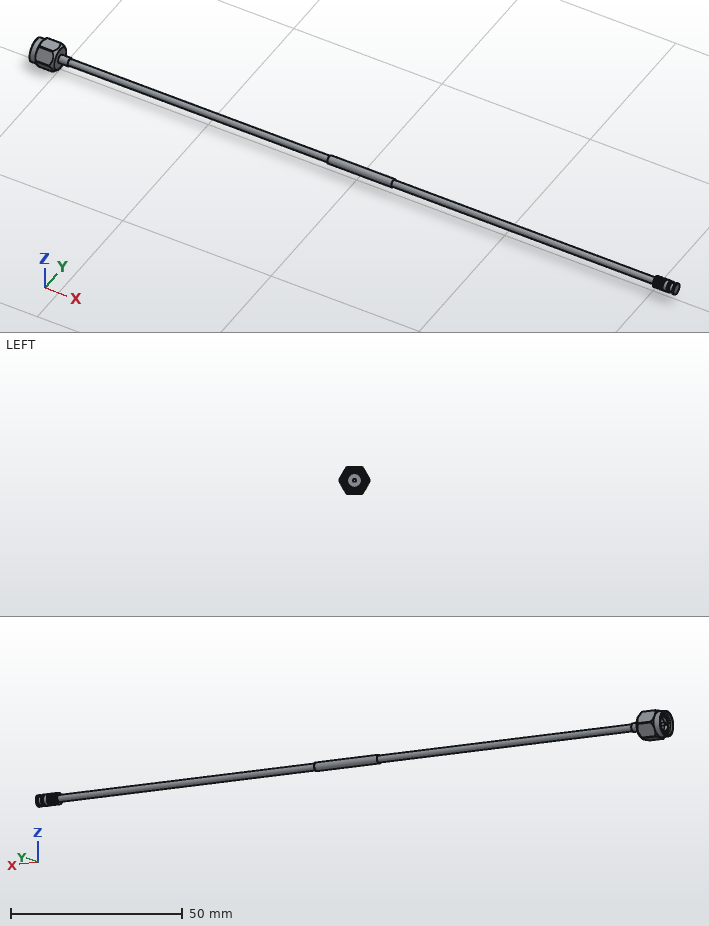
import cadquery as cq

OVERALL_LENGTH = 216.15

NUT_ACROSS_FLATS = 7.94
NUT_CORNER_DIAMETER = 8.99
HEX_TURN = 90
COLLAR_DIAMETER = 7.7
COLLAR_LENGTH = 2.0
NUT_END = 8.2
NUT_FRONT_CHAMFER = 0.5
NUT_REAR_CONE_LENGTH = 1.2
NUT_REAR_FACE_DIAMETER = 7.1
SOCKET_DIAMETER = 6.0
SOCKET_LEAD_IN = 0.45
SOCKET_DEPTH = 5.5
CONTACT_SLEEVE_DIAMETER = 5.1
CONTACT_SLEEVE_BORE = 4.2
CONTACT_SLEEVE_FACE = 0.8
DIELECTRIC_FACE = 2.0
PIN_DIAMETER = 0.9
PIN_FACE = 0.4
FERRULE_DIAMETER = 2.65
FERRULE_END = 11.4

CABLE_DIAMETER = 2.15
SLEEVE_DIAMETER = 2.65
SLEEVE_START = 99.0
SLEEVE_LENGTH = 21.6

PLUG_DIAMETER = 3.5
PLUG_LENGTH = 7.1
PLUG_START = OVERALL_LENGTH - PLUG_LENGTH
RING_GROOVE_COUNT = 3
RING_GROOVE_WIDTH = 0.55
RING_GROOVE_PITCH = 1.1
GROOVE_DEPTH = 0.15
RING_GROOVE_OFFSET = 0.55
SNAP_GROOVE_WIDTH = 1.2
SNAP_GROOVE_DEPTH = 0.4
SNAP_GROOVE_TO_TIP = 0.6
FLANGE_GROOVE_WIDTH = 0.4
FLANGE_GROOVE_TO_TIP = 2.1


def rod(diameter, start, end):
    """Round bar on the X axis between two stations."""
    return cq.Workplane("YZ", origin=(start, 0, 0)).circle(diameter / 2).extrude(end - start)


def turned_nut_blank():
    """Round blank that trims the hexagon's corners, coned at both ends."""
    radius = NUT_CORNER_DIAMETER / 2
    return (
        cq.Workplane("XY")
        .moveTo(COLLAR_LENGTH, 0)
        .lineTo(COLLAR_LENGTH, radius - NUT_FRONT_CHAMFER)
        .lineTo(COLLAR_LENGTH + NUT_FRONT_CHAMFER, radius)
        .lineTo(NUT_END - NUT_REAR_CONE_LENGTH, radius)
        .lineTo(NUT_END, NUT_REAR_FACE_DIAMETER / 2)
        .lineTo(NUT_END, 0)
        .close()
        .revolve(360, (0, 0, 0), (1, 0, 0))
    )


def hex_nut():
    """Hexagon with flats facing +Z and -Z, trimmed to the turned blank."""
    hexagon = (
        cq.Workplane("YZ", origin=(COLLAR_LENGTH, 0, 0))
        .polygon(6, NUT_ACROSS_FLATS, circumscribed=True)
        .extrude(NUT_END - COLLAR_LENGTH)
        .rotate((0, 0, 0), (1, 0, 0), HEX_TURN)
    )
    return hexagon.intersect(turned_nut_blank())


def socket_lead_in():
    """45 degree cone that opens the mouth of the socket."""
    mouth_radius = SOCKET_DIAMETER / 2 + SOCKET_LEAD_IN
    return cq.Workplane("YZ").circle(mouth_radius).extrude(SOCKET_LEAD_IN, taper=45)


def nut_connector():
    """Coupling nut with its socket, centre contact and cable ferrule."""
    body = hex_nut().union(rod(COLLAR_DIAMETER, 0, COLLAR_LENGTH))
    body = body.cut(rod(SOCKET_DIAMETER, 0, SOCKET_DEPTH))
    body = body.cut(socket_lead_in())
    body = body.union(rod(CONTACT_SLEEVE_DIAMETER, CONTACT_SLEEVE_FACE, NUT_END))
    body = body.cut(rod(CONTACT_SLEEVE_BORE, CONTACT_SLEEVE_FACE, DIELECTRIC_FACE))
    body = body.union(rod(PIN_DIAMETER, PIN_FACE, NUT_END))
    return body.union(rod(FERRULE_DIAMETER, NUT_END, FERRULE_END))


def marked_cable():
    """Cable between the two connectors, carrying a thicker marker sleeve."""
    cable = rod(CABLE_DIAMETER, FERRULE_END, PLUG_START)
    return cable.union(rod(SLEEVE_DIAMETER, SLEEVE_START, SLEEVE_START + SLEEVE_LENGTH))


def cut_groove(body, start, width, depth):
    """Turn a square groove into the plug's outside."""
    core = rod(PLUG_DIAMETER - 2 * depth, start, start + width)
    return body.cut(rod(2 * PLUG_DIAMETER, start, start + width).cut(core))


def plug_connector():
    """Round plug with gripping rings, a flange groove and a snap groove near the tip."""
    body = rod(PLUG_DIAMETER, PLUG_START, OVERALL_LENGTH)
    for index in range(RING_GROOVE_COUNT):
        start = PLUG_START + RING_GROOVE_OFFSET + index * RING_GROOVE_PITCH
        body = cut_groove(body, start, RING_GROOVE_WIDTH, GROOVE_DEPTH)
    flange_groove_start = OVERALL_LENGTH - FLANGE_GROOVE_TO_TIP - FLANGE_GROOVE_WIDTH
    body = cut_groove(body, flange_groove_start, FLANGE_GROOVE_WIDTH, GROOVE_DEPTH)
    snap_groove_start = OVERALL_LENGTH - SNAP_GROOVE_TO_TIP - SNAP_GROOVE_WIDTH
    return cut_groove(body, snap_groove_start, SNAP_GROOVE_WIDTH, SNAP_GROOVE_DEPTH)


result = cq.Compound.makeCompound(
    [nut_connector().val(), marked_cable().val(), plug_connector().val()]
)